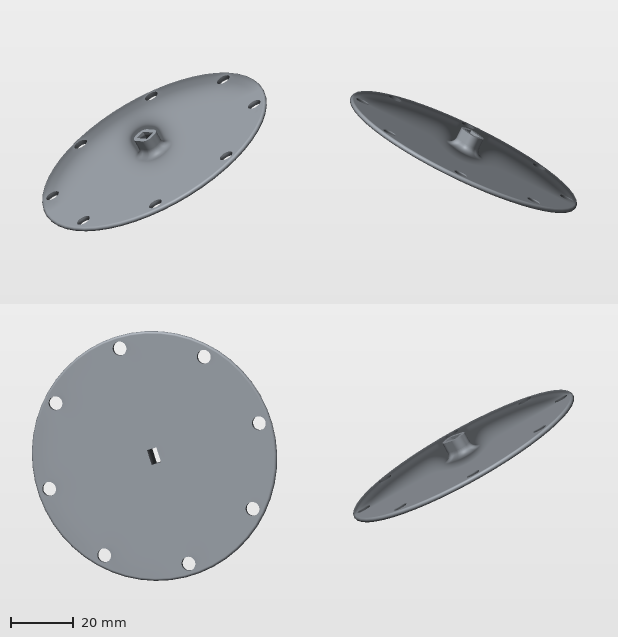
import cadquery as cq

disc_diameter = 80
disc_thickness = 1.6
tilt_angle = 35

hole_count = 8
hole_diameter = 4.5
hole_circle_diameter = 72

boss_length = 8
boss_width = 6.0
boss_height = 6.0
boss_corner_radius = 2.4
boss_root_radius = 2.5
socket_length = 5.0
socket_width = 3.2

top_height = disc_thickness / 2 + boss_height


def make_disc():
    """Disc centred on the origin, with a rim rounded by two quarter arcs."""
    rim_radius = disc_thickness / 2
    flat_radius = disc_diameter / 2 - rim_radius
    half_section = (
        cq.Workplane("XZ")
        .moveTo(0, -rim_radius)
        .lineTo(flat_radius, -rim_radius)
        .tangentArcPoint((disc_diameter / 2, 0), relative=False)
        .tangentArcPoint((flat_radius, rim_radius), relative=False)
        .lineTo(0, rim_radius)
        .close()
    )
    return half_section.revolve(360, (0, 0), (0, 1))


def add_boss(disc):
    """Rounded rectangular boss blended into the upper face of the disc."""
    boss = (
        cq.Workplane("XY")
        .box(boss_length, boss_width, top_height, centered=(True, True, False))
        .edges("|Z")
        .fillet(boss_corner_radius)
    )
    root_height = disc_thickness / 2
    tolerance = 0.1
    root_zone = cq.selectors.BoxSelector(
        (-boss_length, -boss_width, root_height - tolerance),
        (boss_length, boss_width, root_height + tolerance),
    )
    return disc.union(boss).edges(root_zone).fillet(boss_root_radius)


def make_holes():
    """Cutters for the evenly spaced holes near the rim."""
    return (
        cq.Workplane("XY", origin=(0, 0, -disc_thickness))
        .polarArray(hole_circle_diameter / 2, 0, 360, hole_count)
        .circle(hole_diameter / 2)
        .extrude(2 * disc_thickness)
    )


def make_socket():
    """Cutter for the rectangular socket through the boss and disc."""
    return cq.Workplane("XY").box(socket_length, socket_width, 2 * top_height + disc_thickness)


flat_part = add_boss(make_disc()).cut(make_holes()).cut(make_socket())
result = flat_part.rotate((0, 0, 0), (0, 1, 0), -tilt_angle)